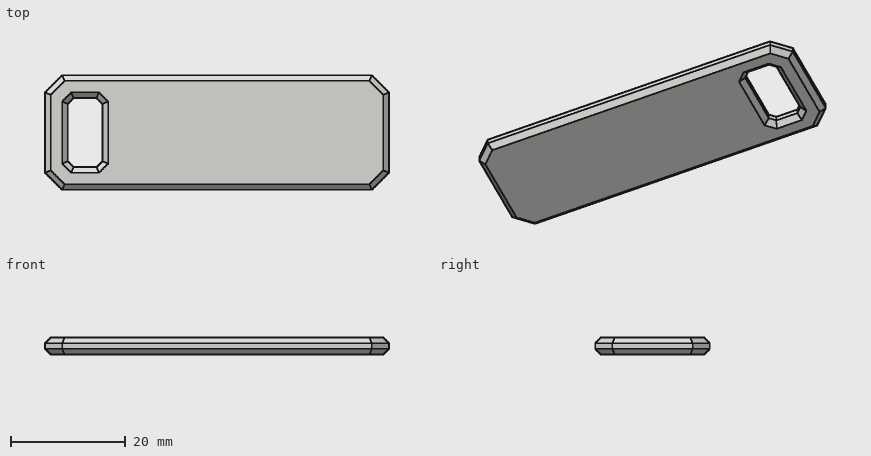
import cadquery as cq

length = 60.0
width = 20.0
thickness = 3.0
corner_cut = 3.0
edge_bevel = 1.0

rim = 4.0
slot_length = 6.0
slot_width = width - 2 * rim
slot_corner_cut = 1.0
slot_center_x = -length / 2 + rim + slot_length / 2


def cut_corner_block(size_x, size_y, corner):
    """Block of the plate thickness, standing on Z = 0, with its four upright corners cut off."""
    block = cq.Workplane("XY").box(size_x, size_y, thickness, centered=(True, True, False))
    return block.edges("|Z").chamfer(corner)


def make_plate():
    """Plate with its outer edges bevelled on both faces."""
    plate = cut_corner_block(length, width, corner_cut)
    return plate.faces("<Z or >Z").edges().chamfer(edge_bevel)


def cut_slot(plate):
    """Cut the slot through and bevel its rim on both faces."""
    slot = cut_corner_block(slot_length, slot_width, slot_corner_cut)
    plate = plate.cut(slot.translate((slot_center_x, 0, 0)))
    rim_edges = plate.faces("<Z or >Z").wires(
        cq.selectors.BoxSelector(
            (slot_center_x - slot_length, -slot_width, -thickness),
            (slot_center_x + slot_length, slot_width, 2 * thickness),
        )
    )
    return rim_edges.chamfer(edge_bevel)


result = cut_slot(make_plate())